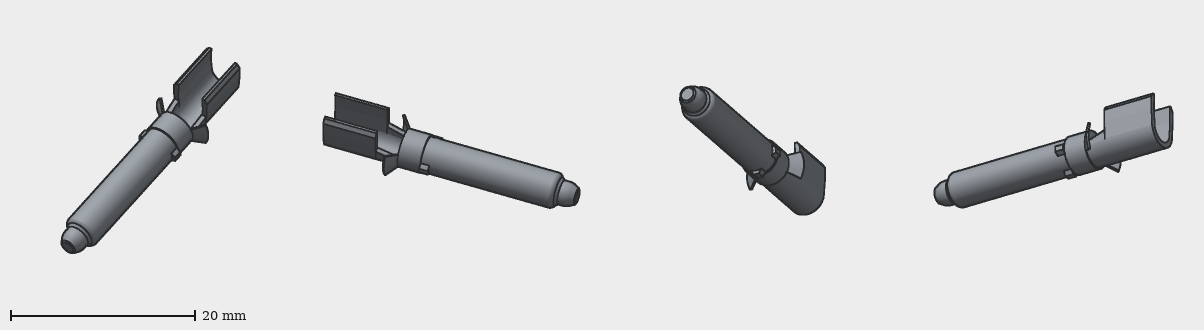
import cadquery as cq
import math

yaw_angle = 1.0

crimp_end = 6.03
collar_start = 8.55
collar_end = 11.15
lug_end = 12.14
shoulder_start = 25.70
shoulder_end = 26.39
neck_start = 26.73
nose_start = 27.17
nose_end = 28.22
tip_edge = 28.48
total_length = 28.60

pin_radius = 2.0
collar_radius = 2.18
shoulder_end_radius = 1.63
neck_radius = 1.39
nose_end_radius = 1.08
tip_edge_radius = 0.95
tip_flat_radius = 0.75

sheet_thickness = 0.6
crimp_outer_half = 2.23
crimp_inner_half = 1.65
crimp_bend_z = 1.72
crimp_shoulder_half = 2.08
crimp_shoulder_z = -0.29
wing_top_z = 3.67
wing_chamfer_z = 3.17
wing_top_outer = 1.88
wing_top_inner = 1.57

trough_start_top_z = 0.76
trough_start_top_half = 2.13
trough_end_top_z = -0.05
trough_end_shoulder_z = -0.55

fin_tip_radius = 3.5
fin_rise = 1.06
fin_thickness = 0.24
fin_half_angle = 27.5

lug_radius = 2.42
lug_tip_half = 0.32
lug_root_half = 0.70
lug_root_radius = 1.8


def mirrored_section(outer_side, inner_side, bottom_z, station):
    """Closed U section, symmetric about Z; each side lists its +X points from the bottom arc up."""
    outer_arc_end = outer_side[0]
    inner_arc_end = inner_side[0]
    plane = cq.Workplane("XZ", origin=(0, -station, 0))
    section = plane.moveTo(-outer_arc_end[0], outer_arc_end[1])
    section = section.threePointArc((0, bottom_z), outer_arc_end)
    for x, z in outer_side[1:] + inner_side[::-1]:
        section = section.lineTo(x, z)
    inner_bottom = (0, bottom_z + sheet_thickness)
    section = section.threePointArc(inner_bottom, (-inner_arc_end[0], inner_arc_end[1]))
    for x, z in inner_side[1:] + outer_side[:0:-1]:
        section = section.lineTo(-x, z)
    return section.close()


def make_crimp_barrel():
    """Open barrel whose two tall wings have bevelled outer top edges."""
    outer_side = [
        (crimp_shoulder_half, crimp_shoulder_z),
        (crimp_outer_half, crimp_bend_z),
        (crimp_outer_half, wing_chamfer_z),
        (wing_top_outer, wing_top_z),
    ]
    inner_side = [
        (crimp_shoulder_half - sheet_thickness, crimp_shoulder_z),
        (crimp_inner_half, crimp_bend_z),
        (wing_top_inner, wing_top_z),
    ]
    return mirrored_section(outer_side, inner_side, -pin_radius, 0).extrude(crimp_end)


def trough_wire(shoulder, top, station):
    """Low U section with a flat rim at the top point."""
    inner_side = [(x - sheet_thickness, z) for x, z in (shoulder, top)]
    return mirrored_section([shoulder, top], inner_side, -pin_radius, station).val()


def make_trough():
    """Loft from the lower crimp section to the lower half of the pin."""
    def on_pin(z):
        return (math.sqrt(pin_radius**2 - z**2), z)

    start = trough_wire(
        (crimp_shoulder_half, crimp_shoulder_z),
        (trough_start_top_half, trough_start_top_z),
        crimp_end,
    )
    end = trough_wire(on_pin(trough_end_shoulder_z), on_pin(trough_end_top_z), collar_start)
    return cq.Workplane(cq.Solid.makeLoft([start, end], True))


def arc_middle(start, end, bulge):
    """Point beside the middle of a chord, pushed outwards by the bulge."""
    dx = end[0] - start[0]
    dy = end[1] - start[1]
    chord = math.hypot(dx, dy)
    middle_x = (start[0] + end[0]) / 2 - dy / chord * bulge
    middle_y = (start[1] + end[1]) / 2 + dx / chord * bulge
    return (middle_x, middle_y)


def make_body():
    """Solid turned body: collar, shank, rounded shoulder, neck and nose."""
    shoulder_bulge = 0.13
    nose_bulge = 0.10
    shoulder = [(pin_radius, -shoulder_start), (shoulder_end_radius, -shoulder_end)]
    nose = [(neck_radius, -nose_start), (nose_end_radius, -nose_end)]
    profile = (
        cq.Workplane("XY")
        .moveTo(0, -collar_start)
        .lineTo(collar_radius, -collar_start)
        .lineTo(collar_radius, -collar_end)
        .lineTo(pin_radius, -collar_end)
        .lineTo(*shoulder[0])
        .threePointArc(arc_middle(*shoulder, shoulder_bulge), shoulder[1])
        .lineTo(neck_radius, -neck_start)
        .lineTo(*nose[0])
        .threePointArc(arc_middle(*nose, nose_bulge), nose[1])
        .lineTo(tip_edge_radius, -tip_edge)
        .lineTo(tip_flat_radius, -total_length)
        .lineTo(0, -total_length)
        .close()
    )
    return profile.revolve(360, (0, 0, 0), (0, 1, 0))


def make_fin():
    """Conical tab that flares out towards the wire end, centred on +X."""
    fin_run = fin_tip_radius - collar_radius
    slope_length = math.hypot(fin_run, fin_rise)
    step_in = fin_thickness * fin_rise / slope_length
    step_back = fin_thickness * fin_run / slope_length
    profile = (
        cq.Workplane("XY")
        .moveTo(collar_radius, -collar_start)
        .lineTo(fin_tip_radius, -collar_start + fin_rise)
        .lineTo(fin_tip_radius - step_in, -collar_start + fin_rise + step_back)
        .lineTo(collar_radius - step_in, -collar_start + step_back)
        .lineTo(collar_radius - step_in, -collar_end)
        .lineTo(collar_radius, -collar_end)
        .close()
    )
    fin = profile.revolve(2 * fin_half_angle, (0, 0, 0), (0, 1, 0))
    return fin.rotate((0, 0, 0), (0, 1, 0), -fin_half_angle)


def make_lug():
    """Trapezoidal stop in front of the collar, centred on +X."""
    points = [
        (lug_root_radius, -lug_root_half),
        (lug_radius, -lug_tip_half),
        (lug_radius, lug_tip_half),
        (lug_root_radius, lug_root_half),
    ]
    plane = cq.Workplane("XZ", origin=(0, -collar_end, 0))
    return plane.polyline(points).close().extrude(lug_end - collar_end)


def turned(shape, angle):
    """Shape turned about the pin axis."""
    return shape.rotate((0, 0, 0), (0, 1, 0), angle)


pin = make_body().union(make_trough()).union(make_crimp_barrel())
for fin_angle in (0, 180):
    pin = pin.union(turned(make_fin(), fin_angle))
for lug_angle in (0, 90, 180):
    pin = pin.union(turned(make_lug(), lug_angle))

result = pin.rotate((0, 0, 0), (0, 0, 1), yaw_angle)